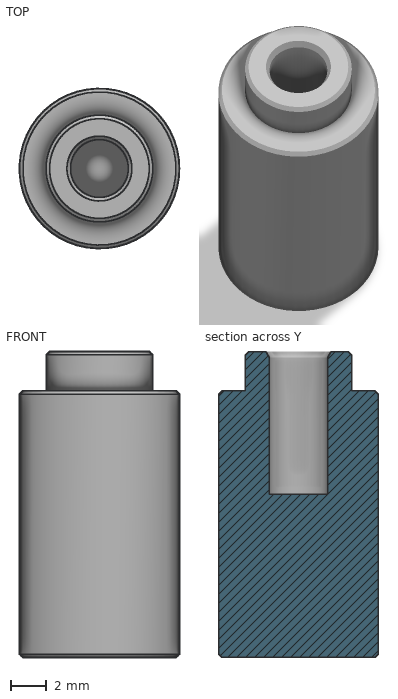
import cadquery as cq
import math

body_diameter = 9.0
body_height = 15.0

neck_diameter = 6.0
neck_height = 2.2

rim_chamfer = 0.2

hole_diameter = 3.25
hole_depth = 8.0
lead_in_diameter = 3.65
lead_in_angle = 60.0

total_height = body_height + neck_height
lead_in_width = (lead_in_diameter - hole_diameter) / 2
lead_in_depth = lead_in_width / math.tan(math.radians(lead_in_angle / 2))


def make_body():
    """Cylinder standing on Z = 0, chamfered at both ends."""
    body = cq.Workplane("XY").circle(body_diameter / 2).extrude(body_height)
    return body.faces("<Z or >Z").chamfer(rim_chamfer)


def make_neck():
    """Smaller cylinder on the body, chamfered at its top rim."""
    base = cq.Workplane("XY").workplane(offset=body_height)
    neck = base.circle(neck_diameter / 2).extrude(neck_height)
    return neck.faces(">Z").chamfer(rim_chamfer)


def make_hole():
    """Half profile of the hole, revolved about the Z axis into a cutting solid."""
    hole_floor = total_height - hole_depth
    profile = (
        cq.Workplane("XZ")
        .moveTo(0, total_height)
        .lineTo(lead_in_diameter / 2, total_height)
        .lineTo(hole_diameter / 2, total_height - lead_in_depth)
        .lineTo(hole_diameter / 2, hole_floor)
        .lineTo(0, hole_floor)
        .close()
    )
    return profile.revolve(360, (0, 0, 0), (0, 1, 0))


result = make_body().union(make_neck()).cut(make_hole())